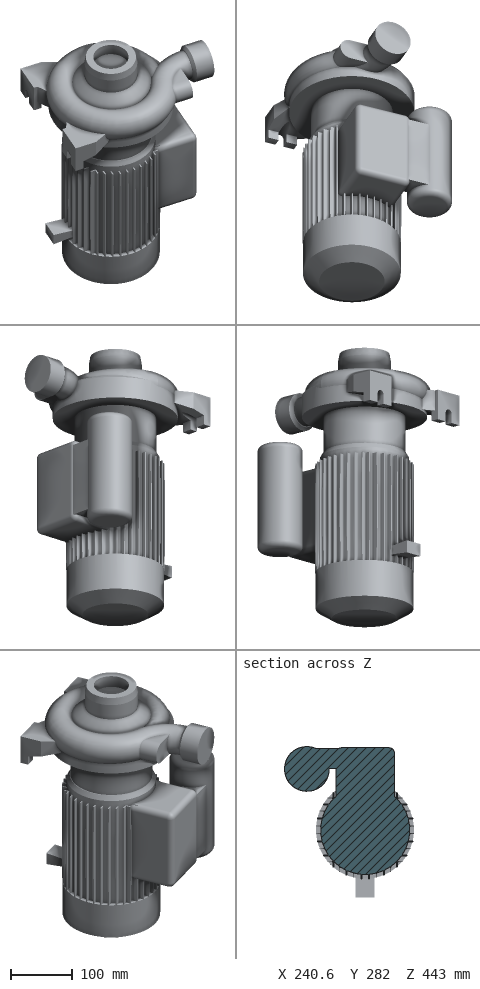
import math

import cadquery as cq


cap_height = 16.0
fin_bottom = 76.3
fin_top = 257.5
collar_cone_bottom = 268.0
collar_cone_top = 276.0
flange_bottom = 337.0
volute_height = 373.2
flange_top = 376.0
inlet_bottom = 404.0
inlet_taper_bottom = 430.7
inlet_top = 443.0

cap_radius = 53.0
motor_radius = 79.1
motor_core_radius = 72.2
neck_radius = 66.3
collar_cone_radius = 67.5
fin_count = 40
fin_groups = 4
fin_thickness = 2.0
fin_length = 12.0
fin_crown = 0.7

flange_radius = 101.2
flange_chamfer = 3.5
cover_radius = 69.0
cover_edge_height = 385.6
inlet_radius = 42.8
inlet_mouth_radius = 40.6
inlet_bore_radius = 28.4
inlet_bore_depth = 20.0

tube_radius = 24.3
volute_offset = 3.8
volute_radius = 81.7
bend_start_angle = 65.0
tail_end_angle = 75.0
tail_end_distance = 74.0
tail_end_radius = 15.0
tail_steps = 4
outlet_radius = 31.1
outlet_neck_radius = 26.0
outlet_chamfer_length = 4.7
outlet_end = 170.0

boss_radius = 17.8
boss_center_x = 50.8
boss_end_y = 114.5

foot_outer_x = 105.0
foot_inner_x = 54.3
foot_front_y = -112.0
foot_plate_thickness = 13.7
foot_bottom = 323.8
foot_top = 373.4
foot_outer_corner_y = -75.5
foot_inner_corner_y = -105.6
web_back_y = -46.3
web_outer_back_x = 91.0
web_inner_back_x = 36.0
web_inner_back_y = -95.2
web_bottom_front = 339.4
web_bottom_back = 352.0
foot_slot_x = 79.7
foot_slot_radius = 7.0
foot_slot_center_height = 338.4

capacitor_x = -94.3
capacitor_y = 98.7
capacitor_radius = 36.5
capacitor_bottom = 110.6
capacitor_top = 288.6
capacitor_fillet = 9.8
box_half_width = 47.7
box_back_y = 133.4
box_bottom = 118.5
box_fillet = 9.5
arm_back_y = 131.9

lug_half_width = 15.7
lug_end_y = -109.5
lug_bottom = 86.6
lug_top = 107.0
lug_root_inset = 2.8


def box_between(low, high):
    """Box spanning two opposite corners."""
    size = [end - start for start, end in zip(low, high)]
    return cq.Workplane("XY", origin=low).box(*size, centered=False)


def make_shaft_body():
    """Motor shell, neck, flange, cover and inlet, turned about the shaft axis."""
    profile = [
        (0, 0),
        (cap_radius, 0),
        (motor_radius, cap_height),
        (motor_radius, fin_bottom),
        (motor_core_radius, fin_bottom),
        (motor_core_radius, collar_cone_bottom),
        (collar_cone_radius, collar_cone_top),
        (neck_radius, collar_cone_top),
        (neck_radius, flange_bottom),
        (flange_radius, flange_bottom),
        (flange_radius, flange_top - flange_chamfer),
        (flange_radius - flange_chamfer, flange_top),
        (cover_radius, flange_top),
        (cover_radius, cover_edge_height),
        (inlet_radius, inlet_bottom),
        (inlet_radius, inlet_taper_bottom),
        (inlet_mouth_radius, inlet_top),
        (0, inlet_top),
    ]
    return cq.Workplane("XZ").polyline(profile).close().revolve(360, (0, 0, 0), (0, 1, 0))


def make_fins():
    """Cooling fins in four groups, parallel within a group, with slightly crowned outer edges."""
    pitch = 360 / fin_count
    group_size = fin_count // fin_groups
    middle_height = (fin_bottom + fin_top) / 2
    fins = []
    for index in range(group_size):
        angle = math.radians((index - (group_size - 1) / 2) * pitch)
        offset = motor_radius * math.sin(angle)
        tip = motor_radius * math.cos(angle)
        root = tip - fin_length
        fin = (
            cq.Workplane("XZ", origin=(0, offset, 0))
            .moveTo(root, fin_bottom)
            .lineTo(tip, fin_bottom)
            .threePointArc((tip + fin_crown, middle_height), (tip, fin_top))
            .lineTo(root, fin_top)
            .close()
            .extrude(fin_thickness / 2, both=True)
            .val()
        )
        for group in range(fin_groups):
            fins.append(fin.rotate((0, 0, 0), (0, 0, 1), group * 360 / fin_groups))
    return fins


def volute_point(angle):
    """Point on the circular centreline of the volute tube."""
    turn = math.radians(angle)
    x = volute_offset + volute_radius * math.cos(turn)
    y = volute_radius * math.sin(turn)
    return x, y


def make_volute():
    """Volute tube, its S-bend to the discharge and the flared discharge end."""
    bend_turn = math.radians(bend_start_angle)
    bend_x, bend_y = volute_point(bend_start_angle)
    bend_radius = bend_x / (1 - math.cos(bend_turn))
    bend_end_y = bend_y + bend_radius * math.sin(bend_turn)
    half_turn = bend_turn / 2
    bend_middle = (
        bend_radius * (1 - math.cos(half_turn)),
        bend_end_y - bend_radius * math.sin(half_turn),
    )
    path = (
        cq.Workplane("XY", origin=(0, 0, volute_height))
        .moveTo(*volute_point(180))
        .threePointArc(volute_point(-90), volute_point(bend_start_angle))
        .threePointArc(bend_middle, (0, bend_end_y))
    )
    start_x = volute_point(180)[0]
    tube = (
        cq.Workplane("XZ", origin=(start_x, 0, volute_height))
        .circle(tube_radius)
        .sweep(path)
    )
    outlet_profile = [
        (0, bend_end_y),
        (outlet_neck_radius, bend_end_y),
        (outlet_radius, bend_end_y + outlet_chamfer_length),
        (outlet_radius, outlet_end),
        (0, outlet_end),
    ]
    outlet = (
        cq.Workplane("XY", origin=(0, 0, volute_height))
        .polyline(outlet_profile)
        .close()
        .revolve(360, (0, 0, 0), (0, 1, 0))
    )
    return tube.union(outlet)


def make_volute_tail():
    """Start of the volute, a tube that shrinks as it tucks under the discharge bend."""
    start_distance = volute_radius - volute_offset
    sections = []
    for step in range(tail_steps + 1):
        share = step / tail_steps
        turn = math.radians(180 + share * (tail_end_angle - 180))
        distance = start_distance + share * (tail_end_distance - start_distance)
        height = volute_height + share * (flange_top - volute_height)
        radius = tube_radius + share * (tail_end_radius - tube_radius)
        center = cq.Vector(distance * math.cos(turn), distance * math.sin(turn), height)
        direction = cq.Vector(math.sin(turn), -math.cos(turn), 0)
        sections.append(cq.Wire.makeCircle(radius, center, direction))
    return cq.Workplane(cq.Solid.makeLoft(sections))


def make_boss():
    """Round-ended boss beside the discharge bend."""
    profile = (
        cq.Workplane("XZ", origin=(0, boss_end_y, volute_height))
        .moveTo(0, -boss_radius)
        .lineTo(boss_center_x, -boss_radius)
        .threePointArc((boss_center_x + boss_radius, 0), (boss_center_x, boss_radius))
        .lineTo(0, boss_radius)
        .close()
    )
    return profile.extrude(boss_end_y - volute_point(bend_start_angle)[1])


def make_foot():
    """Slotted foot on the +X side: an upright plate and the web behind it."""
    plan = [
        (foot_inner_x, foot_front_y),
        (foot_outer_x, foot_front_y),
        (foot_outer_x, foot_outer_corner_y),
        (web_outer_back_x, web_back_y),
        (web_inner_back_x, web_back_y),
        (web_inner_back_x, web_inner_back_y),
        (foot_inner_x, foot_inner_corner_y),
    ]
    plate_back_y = foot_front_y + foot_plate_thickness
    side = [
        (foot_front_y, foot_top),
        (foot_front_y, web_bottom_front),
        (plate_back_y, web_bottom_front),
        (web_back_y, web_bottom_back),
        (web_back_y, foot_top),
    ]
    upright = cq.Workplane("XY").polyline(plan).close().extrude(foot_top)
    web = cq.Workplane("YZ").polyline(side).close().extrude(foot_outer_x).intersect(upright)
    plate = box_between(
        (foot_inner_x, foot_front_y, foot_bottom),
        (foot_outer_x, plate_back_y, foot_top),
    )
    foot = web.union(plate)

    slot_depth = web_back_y - foot_front_y
    slot_end = cq.Workplane("XZ", origin=(foot_slot_x, web_back_y, foot_slot_center_height))
    slot_round = slot_end.circle(foot_slot_radius).extrude(slot_depth)
    slot_drop = foot_slot_center_height - foot_bottom
    slot_leg = slot_end.center(0, -slot_drop / 2).rect(2 * foot_slot_radius, slot_drop)
    return foot.cut(slot_round).cut(slot_leg.extrude(slot_depth))


def make_electrics():
    """Capacitor, terminal box and the arm between them."""
    capacitor = (
        cq.Workplane("XY", origin=(capacitor_x, capacitor_y, capacitor_bottom))
        .circle(capacitor_radius)
        .extrude(capacitor_top - capacitor_bottom)
        .faces("<Z or >Z")
        .edges()
        .fillet(capacitor_fillet)
    )
    box = box_between((-box_half_width, 0, box_bottom), (box_half_width, box_back_y, fin_top))
    box = box.edges("|Y or >Y").fillet(box_fillet)
    arm = box_between(
        (capacitor_x, capacitor_y, box_bottom + box_fillet),
        (0, arm_back_y, fin_top - box_fillet),
    )
    return capacitor.union(arm).union(box)


def make_lug():
    """Support lug on the -Y side of the motor, thicker towards its free end."""
    profile = [
        (0, lug_bottom + lug_root_inset),
        (-motor_radius, lug_bottom + lug_root_inset),
        (lug_end_y, lug_bottom),
        (lug_end_y, lug_top),
        (-motor_radius, lug_top - lug_root_inset),
        (0, lug_top - lug_root_inset),
    ]
    return cq.Workplane("YZ").polyline(profile).close().extrude(lug_half_width, both=True)


volute = make_volute().union(make_volute_tail())
right_foot = make_foot()
left_foot = right_foot.mirror("YZ")

inlet_bore = (
    cq.Workplane("XY", origin=(0, 0, inlet_top))
    .circle(inlet_bore_radius)
    .extrude(-inlet_bore_depth)
)

result = make_shaft_body()
for fin in make_fins():
    result = result.union(cq.Workplane(fin))
result = result.union(make_electrics()).union(make_lug())
result = result.union(left_foot).union(right_foot)
result = result.union(volute).union(make_boss())
result = result.cut(inlet_bore)